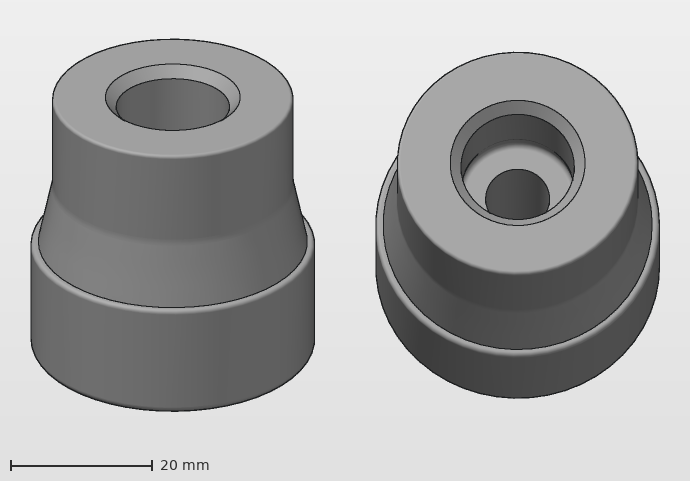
import cadquery as cq
import math

total_height = 40.0
ring_height = 16.65

ring_radius = 40.1 / 2
ring_top_fillet = 0.6
ring_bottom_fillet = 1.0

neck_radius = 34.0 / 2
neck_bottom_z = 26.5
neck_top_fillet = 0.5
flare_angle = math.radians(12.0)
blend_radius = 4.65

through_radius = 9.0 / 2
bore_radius = 16.0 / 2
bore_chamfer = 1.52
bore_straight_depth = 10.95
undercut_radius = 16.5 / 2
undercut_taper_height = 0.9
undercut_depth = 13.63
undercut_floor_fillet = 0.75

blend_end_radius = neck_radius + blend_radius * (1 - math.cos(flare_angle))
blend_end_z = neck_bottom_z - blend_radius * math.sin(flare_angle)
blend_mid_radius = neck_radius + blend_radius * (1 - math.cos(flare_angle / 2))
blend_mid_z = neck_bottom_z - blend_radius * math.sin(flare_angle / 2)

seat_radius = blend_end_radius + (blend_end_z - ring_height) * math.tan(flare_angle)


def make_bore():
    """Cutter for the chamfered bore, its undercut and the through hole."""
    floor_z = total_height - undercut_depth
    bore_end_z = total_height - bore_straight_depth
    stepped_bore = (
        cq.Workplane("XZ")
        .moveTo(0, floor_z)
        .lineTo(undercut_radius, floor_z)
        .lineTo(undercut_radius, bore_end_z - undercut_taper_height)
        .lineTo(bore_radius, bore_end_z)
        .lineTo(bore_radius, total_height - bore_chamfer)
        .lineTo(bore_radius + bore_chamfer, total_height)
        .lineTo(0, total_height)
        .close()
        .revolve(360, (0, 0), (0, 1))
        .faces("<Z")
        .edges()
        .fillet(undercut_floor_fillet)
    )
    through_hole = cq.Workplane("XY").circle(through_radius).extrude(total_height)
    return stepped_bore.union(through_hole)


def make_core():
    """Flared core with a straight seat for the ring and a stepped bore."""
    blank = (
        cq.Workplane("XZ")
        .lineTo(seat_radius, 0)
        .lineTo(seat_radius, ring_height)
        .lineTo(blend_end_radius, blend_end_z)
        .threePointArc((blend_mid_radius, blend_mid_z), (neck_radius, neck_bottom_z))
        .lineTo(neck_radius, total_height)
        .lineTo(0, total_height)
        .close()
        .revolve(360, (0, 0), (0, 1))
    )
    return blank.faces(">Z").edges().fillet(neck_top_fillet).cut(make_bore())


def make_ring():
    """Ring around the seat of the core, rounded on both outer edges."""
    disc = cq.Workplane("XY").circle(ring_radius).extrude(ring_height)
    disc = disc.faces(">Z").edges().fillet(ring_top_fillet)
    disc = disc.faces("<Z").edges().fillet(ring_bottom_fillet)
    seat = cq.Workplane("XY").circle(seat_radius).extrude(ring_height)
    return disc.cut(seat)


core = make_core()
ring = make_ring()

result = cq.Compound.makeCompound([core.val(), ring.val()])